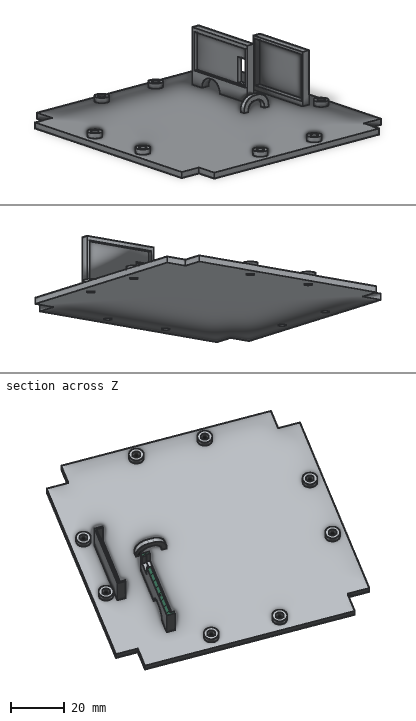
import cadquery as cq

plate_size = 100.0
plate_thickness = 2.4
corner_notch = 8.6

boss_diameter = 5.6
boss_height = 2.0
screw_hole_diameter = 3.0
boss_edge_inset = 5.3
boss_spacing = 27.0

panel_thickness = 3.3

front_panel_left = -37.5
front_panel_face = 25.4
front_panel_width = 31.1
front_panel_top = 25.0
front_frame_side = 1.2
front_frame_top = 1.6
front_recess_bottom = 8.2
front_recess_depth = 1.5

rear_panel_left = -17.3
rear_panel_face = 38.2
rear_panel_width = 27.7
rear_panel_top = 23.8
rear_frame_side = 0.8
rear_frame_top = 1.1
rear_recess_bottom = 4.3
rear_recess_depth = 2.5

window_width = 5.2
window_height = 10.2
window_left = -13.4
window_bottom = 8.5
opening_centre = -26.9
opening_width = 10.0
opening_height = 4.7
opening_corner_radius = 4.6

arch_left = 0.2
arch_thickness = 2.0
arch_centre = 22.3
arch_length = 12.2
arch_height = 5.9
arch_corner_radius = 5.1
arch_inner_radius = 3.6
arch_band = 2.0


def block(left, front, bottom, width, depth, height):
    """Box placed by its lowest X, Y and Z corner."""
    return cq.Workplane("XY").box(width, depth, height, centered=False).translate((left, front, bottom))


def rounded_arch(plane, width, height, radius, thickness):
    """Upright slab on the plate, with both upper corners rounded."""
    half = width / 2
    shoulder = height - radius
    profile = (
        cq.Workplane(plane)
        .moveTo(-half, 0)
        .lineTo(-half, shoulder)
        .radiusArc((radius - half, height), radius)
        .lineTo(half - radius, height)
        .radiusArc((half, shoulder), radius)
        .lineTo(half, 0)
        .close()
    )
    return profile.extrude(thickness).translate((0, 0, plate_thickness))


def framed_panel(left, face, width, top, frame_side, frame_top, recess_bottom, recess_depth):
    """Panel rising from the plate, with a rectangular recess in its -Y face."""
    panel = block(left, face, plate_thickness, width, panel_thickness, top - plate_thickness)
    recess = block(
        left + frame_side,
        face,
        recess_bottom,
        width - 2 * frame_side,
        recess_depth,
        top - frame_top - recess_bottom,
    )
    return panel.cut(recess)


def base_plate():
    """Square plate with a square notch at each corner."""
    inner_size = plate_size - 2 * corner_notch
    lengthwise = cq.Workplane("XY").rect(plate_size, inner_size).extrude(plate_thickness)
    crosswise = cq.Workplane("XY").rect(inner_size, plate_size).extrude(plate_thickness)
    return lengthwise.union(crosswise)


def front_panel():
    """Recessed panel with a through window and a rounded opening at its foot."""
    panel = framed_panel(
        front_panel_left,
        front_panel_face,
        front_panel_width,
        front_panel_top,
        front_frame_side,
        front_frame_top,
        front_recess_bottom,
        front_recess_depth,
    )
    window = block(
        window_left, front_panel_face, window_bottom, window_width, panel_thickness, window_height
    )
    opening = rounded_arch("XZ", opening_width, opening_height, opening_corner_radius, -panel_thickness)
    return panel.cut(window).cut(opening.translate((opening_centre, front_panel_face, 0)))


def rear_panel():
    """Recessed panel without openings."""
    return framed_panel(
        rear_panel_left,
        rear_panel_face,
        rear_panel_width,
        rear_panel_top,
        rear_frame_side,
        rear_frame_top,
        rear_recess_bottom,
        rear_recess_depth,
    )


def cable_arch():
    """Rounded arch, standing on the plate."""
    outer = rounded_arch("YZ", arch_length, arch_height, arch_corner_radius, arch_thickness)
    inner = rounded_arch(
        "YZ",
        arch_length - 2 * arch_band,
        arch_height - arch_band,
        arch_inner_radius,
        arch_thickness,
    )
    return outer.cut(inner).translate((arch_left, arch_centre, 0))


boss_offset = plate_size / 2 - boss_edge_inset
boss_points = []
for side in (-1, 1):
    for end in (-1, 1):
        boss_points.append((side * boss_offset, end * boss_spacing / 2))
        boss_points.append((end * boss_spacing / 2, side * boss_offset))

boss_top = plate_thickness + boss_height
bosses = cq.Workplane("XY").pushPoints(boss_points).circle(boss_diameter / 2).extrude(boss_top)
screw_holes = cq.Workplane("XY").pushPoints(boss_points).circle(screw_hole_diameter / 2).extrude(boss_top)

result = (
    base_plate()
    .union(bosses)
    .union(front_panel())
    .union(rear_panel())
    .union(cable_arch())
    .cut(screw_holes)
)